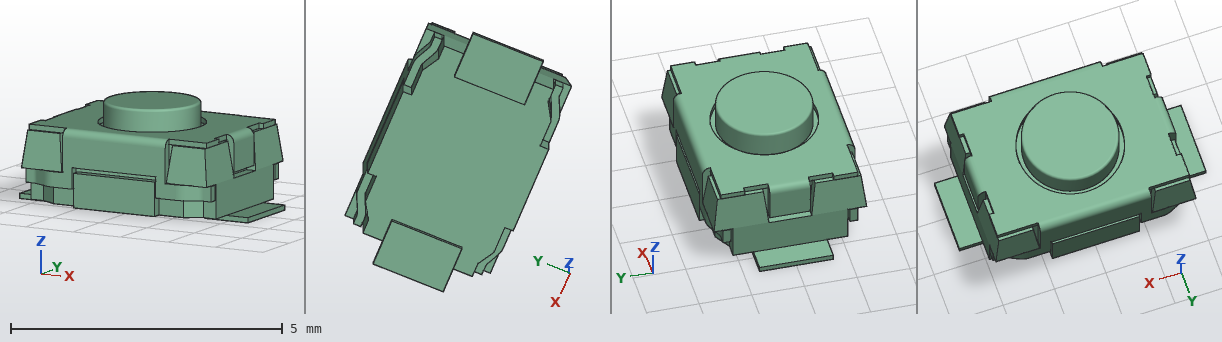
import cadquery as cq
import math

LEAD_TOP = 0.10
FOOT_BOTTOM = 0.45
FOOT_TOP = 0.74
SKIRT_BOTTOM = 0.75
WINDOW_TOP = 0.85
SKIRT_TOP = 1.45
COVER_TOP = 1.55
BUTTON_TOP = 1.95

HALF_LENGTH = 1.95
HALF_WIDTH = 1.45
DRAFT_ANGLE = 7.0
STEM_END_HALF_WIDTH = 1.09
STEM_HALF_WIDTH = 1.28
STEM_SLANT_START = 1.365
STEM_SLANT_END = 1.685
BLOCK_HALF_LENGTH = 0.85
LEAD_OUTER = 2.40
LEAD_INNER = 1.50
LEAD_HALF_WIDTH = 0.70

WALL = 0.15
BEND_RADIUS = WALL
PLATE_HALF_LENGTH = 1.87
WALL_OUTER = HALF_WIDTH
PLATE_HALF_WIDTH = WALL_OUTER - BEND_RADIUS
WALL_HALF_LENGTH = 1.08
WINDOW_HALF_LENGTH = 0.88
TAB_OUTER = 1.93
TAB_INNER = TAB_OUTER - WALL
TAB_HALF_WIDTH = 0.385
RELIEF_HALF_WIDTH = 0.845
HOLE_RADIUS = 1.00

FOOT_STEP = HALF_WIDTH - STEM_HALF_WIDTH
FOOT_ANGLE = math.radians(26.0)
FOOT_BEND_START = 1.31
FOOT_OUTER_BEND = 0.37
FOOT_INNER_BEND = 0.17

NOTCH_GAP = 0.02
SIDE_NOTCH_HALF_LENGTH = WALL_HALF_LENGTH + NOTCH_GAP
SIDE_NOTCH_FLOOR = WALL_OUTER - WALL - NOTCH_GAP
END_NOTCH_HALF_WIDTH = TAB_HALF_WIDTH + NOTCH_GAP
END_NOTCH_FLOOR = TAB_INNER - NOTCH_GAP

BUTTON_RADIUS = 0.90
BUTTON_FILLET = 0.05

SIDES = (-1, 1)


def block(x_min, x_max, y_min, y_max, z_min, z_max):
    """Box between the given limits."""
    size = (x_max - x_min, y_max - y_min, z_max - z_min)
    return cq.Workplane("XY").box(*size, centered=False).translate((x_min, y_min, z_min))


def centred_block(half_length, half_width, z_min, z_max):
    """Box centred on the Z axis."""
    return block(-half_length, half_length, -half_width, half_width, z_min, z_max)


def mirrored_outline(quarter):
    """Closed outline from its +X +Y quarter, listed from the X axis side to the Y axis side."""
    upper_left = [(-x, y) for x, y in reversed(quarter)]
    lower_half = [(-x, -y) for x, y in quarter + upper_left]
    return quarter + upper_left + lower_half


def bent_panel(outer, half_length, z_min):
    """Vertical sheet panel facing +Y, its upper outer corner rounded where it bends into the plate."""
    return (
        cq.Workplane("YZ", origin=(-half_length, 0, 0))
        .moveTo(outer - WALL, z_min)
        .lineTo(outer, z_min)
        .lineTo(outer, COVER_TOP - BEND_RADIUS)
        .tangentArcPoint((outer - BEND_RADIUS, COVER_TOP), relative=False)
        .close()
        .extrude(2 * half_length)
    )


def skirt_outline(inset):
    """Skirt outline with its end and side notches, every face moved inward by `inset`."""
    return mirrored_outline([
        (END_NOTCH_FLOOR - inset, END_NOTCH_HALF_WIDTH + inset),
        (HALF_LENGTH - inset, END_NOTCH_HALF_WIDTH + inset),
        (HALF_LENGTH - inset, HALF_WIDTH - inset),
        (SIDE_NOTCH_HALF_LENGTH + inset, HALF_WIDTH - inset),
        (SIDE_NOTCH_HALF_LENGTH + inset, SIDE_NOTCH_FLOOR - inset),
    ])


def make_base():
    """Moulded base with its leads."""
    stem_quarter = [
        (HALF_LENGTH, STEM_END_HALF_WIDTH),
        (STEM_SLANT_END, STEM_END_HALF_WIDTH),
        (STEM_SLANT_START, STEM_HALF_WIDTH),
        (BLOCK_HALF_LENGTH, STEM_HALF_WIDTH),
        (BLOCK_HALF_LENGTH, HALF_WIDTH),
    ]
    base = (
        cq.Workplane("XY", origin=(0, 0, LEAD_TOP))
        .polyline(mirrored_outline(stem_quarter)).close()
        .extrude(SKIRT_BOTTOM - LEAD_TOP)
    )

    draft_inset = (SKIRT_TOP - SKIRT_BOTTOM) * math.tan(math.radians(DRAFT_ANGLE))
    skirt = (
        cq.Workplane("XY", origin=(0, 0, SKIRT_BOTTOM))
        .polyline(skirt_outline(0)).close()
        .workplane(offset=SKIRT_TOP - SKIRT_BOTTOM)
        .polyline(skirt_outline(draft_inset)).close()
        .loft(ruled=True)
    )
    base = base.union(skirt)

    for side in SIDES:
        inner, outer = sorted((side * LEAD_INNER, side * LEAD_OUTER))
        base = base.union(block(inner, outer, -LEAD_HALF_WIDTH, LEAD_HALF_WIDTH, 0, LEAD_TOP))
    return base


def foot_bend_points(depth):
    """Tangent points of the foot's two bends, on the surface lying `depth` inside its outer face."""
    sine = math.sin(FOOT_ANGLE)
    rise = 1 - math.cos(FOOT_ANGLE)
    bend_sum = FOOT_OUTER_BEND + FOOT_INNER_BEND
    slant_length = (FOOT_STEP - bend_sum * rise) / sine
    bend_end = FOOT_BEND_START + bend_sum * sine + slant_length * math.cos(FOOT_ANGLE)
    first_radius = FOOT_OUTER_BEND - depth
    second_radius = FOOT_INNER_BEND + depth
    wall_y = WALL_OUTER - depth
    end_y = wall_y - FOOT_STEP
    return [
        (FOOT_BEND_START, wall_y),
        (FOOT_BEND_START + first_radius * sine, wall_y - first_radius * rise),
        (bend_end - second_radius * sine, end_y + second_radius * rise),
        (bend_end, end_y),
    ]


def make_foot():
    """Foot at the +X +Y corner: straight from the window, bent inward, then straight to the end."""
    outer = foot_bend_points(0)
    inner = foot_bend_points(WALL)
    return (
        cq.Workplane("XY", origin=(0, 0, FOOT_BOTTOM))
        .moveTo(WINDOW_HALF_LENGTH, WALL_OUTER)
        .lineTo(*outer[0])
        .tangentArcPoint(outer[1], relative=False)
        .lineTo(*outer[2])
        .tangentArcPoint(outer[3], relative=False)
        .lineTo(HALF_LENGTH, outer[3][1])
        .lineTo(HALF_LENGTH, inner[3][1])
        .lineTo(*inner[3])
        .tangentArcPoint(inner[2], relative=False)
        .lineTo(*inner[1])
        .tangentArcPoint(inner[0], relative=False)
        .lineTo(WINDOW_HALF_LENGTH, WALL_OUTER - WALL)
        .close()
        .extrude(FOOT_TOP - FOOT_BOTTOM)
    )


def make_cover():
    """Sheet cover with its walls, feet and end tabs."""
    cover = centred_block(PLATE_HALF_LENGTH, PLATE_HALF_WIDTH, SKIRT_TOP, COVER_TOP)

    relief = centred_block(PLATE_HALF_LENGTH, RELIEF_HALF_WIDTH, SKIRT_TOP, COVER_TOP)
    relief = relief.cut(centred_block(TAB_INNER, RELIEF_HALF_WIDTH, SKIRT_TOP, COVER_TOP))
    cover = cover.cut(relief)

    wall = bent_panel(WALL_OUTER, WALL_HALF_LENGTH, FOOT_BOTTOM)
    foot = make_foot()
    wall = wall.union(foot).union(foot.mirror("YZ"))
    wall = wall.cut(centred_block(WINDOW_HALF_LENGTH, WALL_OUTER, FOOT_BOTTOM, WINDOW_TOP))

    tab = bent_panel(TAB_OUTER, TAB_HALF_WIDTH, WINDOW_TOP)
    tab = tab.rotate((0, 0, 0), (0, 0, 1), -90)

    cover = cover.union(wall).union(wall.mirror("XZ"))
    cover = cover.union(tab).union(tab.mirror("YZ"))

    hole = cq.Workplane("XY", origin=(0, 0, SKIRT_TOP)).circle(HOLE_RADIUS).extrude(COVER_TOP - SKIRT_TOP)
    return cover.cut(hole)


def make_button():
    """Round button standing on the base inside the cover's hole."""
    return (
        cq.Workplane("XY", origin=(0, 0, SKIRT_TOP))
        .circle(BUTTON_RADIUS)
        .extrude(BUTTON_TOP - SKIRT_TOP)
        .faces(">Z").edges()
        .fillet(BUTTON_FILLET)
    )


base = make_base()
cover = make_cover()
button = make_button()

result = cq.Compound.makeCompound([body.solids().val() for body in (base, cover, button)])